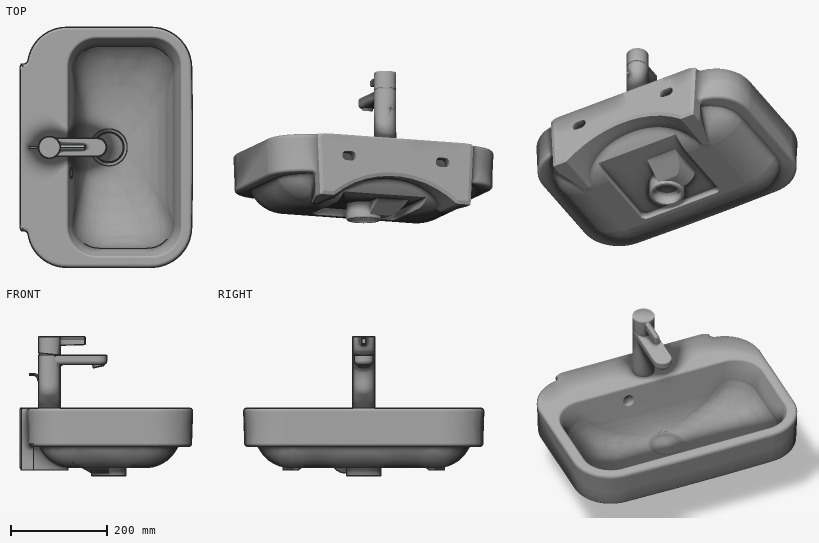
import cadquery as cq
import math

basin_depth = 359.87
basin_width = 500.04

rim_rear = 15.5
rim_height = 79.6
rim_draft = 2.0
rim_top_round = 7.0
rim_bottom_round = 6.0
rim_front_radius = 85.0
rim_rear_radius = 82.0
rim_front_curve = 6800.0

bracket_half_width_top = 174.0
bracket_half_width_foot = 168.0
bracket_thickness = 28.0
bracket_bottom = -129.0
bracket_chamfer_in = 3.0
bracket_chamfer_across = 7.0
bracket_top_chamfer = 1.5
bracket_corner_round = 9.0
foot_inner_half_width = 137.0
arch_top = -80.0
wing_end_x = 100.0
wing_end_half_width = 148.0
wing_top = -75.0

slot_offset = 104.4
slot_z = -44.3
slot_length = 31.0
slot_height = 19.7
slot_depth = 25.0

shell_rear = 38.0
shell_front = 329.0
shell_half_width = 220.0
shell_corner = 75.0
shell_bottom = -124.0
shell_edge_radius = 76.0
shell_steps = 5

recess_half_width = 93.0
recess_front = 250.0
recess_corner = 12.0
recess_top = -108.5

mouth_rear = 100.0
mouth_front = 336.5
mouth_half_width = 227.5
mouth_corner = 61.0
mouth_round = 5.0
crease_rear = 111.0
crease_front = 320.0
crease_half_width = 210.0
crease_corner = 55.0
crease_z = -45.0
floor_z = -103.0
floor_end_share = 0.97
floor_start_angle = 22.0
floor_steps = 6

drain_x = 185.0
drain_pipe_diameter = 72.0
drain_pipe_bottom = -141.57
drain_mouth_diameter = 77.0
drain_seat_diameter = 64.0
drain_seat_drop = 2.5
plug_diameter = 60.0
plug_edge_height = 6.0
plug_cone_height = 5.0
drain_pipe_chamfer = 1.5
pipe_overlap = 2.0

overflow_y = -53.0
overflow_z = -30.0
overflow_diameter = 22.0
overflow_end_x = 88.0
overflow_edge = 1.4
channel_half_width = 15.0
channel_rear = 78.0
channel_rear_bottom = -95.0
channel_pipe_x = 150.0
channel_bottom = -135.0
channel_corner = 30.0

tap_x = 61.5
tap_diameter = 46.0
tap_height = 110.5
neck_diameter = 42.0
handle_top = 149.0
handle_rear_gap = 4.6
handle_chamfer = 1.0
spout_tip = 181.0
spout_width = 39.0
spout_bottom = 90.4
spout_bottom_round = 8.3
spout_top_chamfer = 1.5
spout_root_fillet = 6.0

lever_tip = 136.8
lever_width = 10.4
lever_top = 148.6
lever_shoulder = 144.0
lever_bottom_root = 130.5
lever_bottom_tip = 132.0
lever_end_chamfer = 2.0

aerator_diameter = 23.15
aerator_mouth_diameter = 21.15
aerator_x = 163.0
aerator_tilt = 12.5
aerator_below = 4.6
aerator_inside = 5.0

rod_diameter = 4.0
rod_start = 20.3
rod_bend_start = 28.5
rod_z = 70.0
rod_bend_radius = 10.0
rod_bend_angle = 72.0
rod_tail = 20.0


def plan_wire(x_min, x_max, half_width, corner, z):
    """Rounded rectangle, symmetric about Y = 0, as a closed wire at height z."""
    diagonal = corner * math.sqrt(0.5)
    inner_x = (x_min + corner, x_max - corner)
    inner_y = half_width - corner
    return (
        cq.Workplane("XY", origin=(0, 0, z))
        .moveTo(inner_x[0], -half_width)
        .lineTo(inner_x[1], -half_width)
        .threePointArc((inner_x[1] + diagonal, -inner_y - diagonal), (x_max, -inner_y))
        .lineTo(x_max, inner_y)
        .threePointArc((inner_x[1] + diagonal, inner_y + diagonal), (inner_x[1], half_width))
        .lineTo(inner_x[0], half_width)
        .threePointArc((inner_x[0] - diagonal, inner_y + diagonal), (x_min, inner_y))
        .lineTo(x_min, -inner_y)
        .threePointArc((inner_x[0] - diagonal, -inner_y - diagonal), (inner_x[0], -half_width))
        .close()
        .val()
    )


def blend(start, end, share):
    """Value that lies the given share of the way from start to end."""
    return start + (end - start) * share


def rim_slab():
    """Drafted slab, widest where its top rounding ends."""
    spread = rim_top_round * math.tan(math.radians(rim_draft))
    half = basin_width / 2 + spread
    front = basin_depth + spread
    front_centre = front - rim_front_curve
    corner_y = half - rim_front_radius
    corner_reach = rim_front_curve - rim_front_radius
    corner_x = front_centre + math.sqrt(corner_reach**2 - corner_y**2)
    meet_angle = math.asin(corner_y / corner_reach)
    meet_x = front_centre + rim_front_curve * math.cos(meet_angle)
    meet_y = rim_front_curve * math.sin(meet_angle)
    mid_angle = (meet_angle + math.pi / 2) / 2
    mid_x = corner_x + rim_front_radius * math.cos(mid_angle)
    mid_y = corner_y + rim_front_radius * math.sin(mid_angle)
    rear_x = rim_rear + rim_rear_radius
    rear_y = half - rim_rear_radius
    rear_diagonal = rim_rear_radius * math.sqrt(0.5)
    return (
        cq.Workplane("XY")
        .moveTo(rear_x, -half)
        .lineTo(corner_x, -half)
        .threePointArc((mid_x, -mid_y), (meet_x, -meet_y))
        .threePointArc((front, 0), (meet_x, meet_y))
        .threePointArc((mid_x, mid_y), (corner_x, half))
        .lineTo(rear_x, half)
        .threePointArc((rear_x - rear_diagonal, rear_y + rear_diagonal), (rim_rear, rear_y))
        .lineTo(rim_rear, -rear_y)
        .threePointArc((rear_x - rear_diagonal, -rear_y - rear_diagonal), (rear_x, -half))
        .close()
        .extrude(-rim_height, taper=rim_draft)
        .faces("<Z")
        .edges()
        .fillet(rim_bottom_round)
    )


def bracket():
    """Wall plate with an arched underside and chamfered rear edges."""
    plate = (
        cq.Workplane("YZ")
        .moveTo(-bracket_half_width_top, 0)
        .lineTo(bracket_half_width_top, 0)
        .lineTo(bracket_half_width_foot, bracket_bottom)
        .lineTo(foot_inner_half_width, bracket_bottom)
        .threePointArc((0, arch_top), (-foot_inner_half_width, bracket_bottom))
        .lineTo(-bracket_half_width_foot, bracket_bottom)
        .close()
        .extrude(bracket_thickness)
    )
    rear_edges = plate.faces("<X").edges("not(>Z)")
    plate = rear_edges.chamfer(bracket_chamfer_in, bracket_chamfer_across)
    return plate.faces(">Z").edges("<X").chamfer(bracket_top_chamfer, bracket_chamfer_in)


def arch_opening():
    """Space under the arch, along the length of the wings."""
    return (
        cq.Workplane("YZ")
        .moveTo(-foot_inner_half_width, bracket_bottom)
        .threePointArc((0, arch_top), (foot_inner_half_width, bracket_bottom))
        .close()
        .extrude(wing_end_x)
    )


def wings():
    """Flanks that narrow from the bracket towards the bowl, open along the arch."""
    flank = (
        cq.Workplane("XY", origin=(0, 0, wing_top))
        .polyline(
            [
                (bracket_chamfer_in, -bracket_half_width_foot),
                (bracket_thickness, -bracket_half_width_foot),
                (wing_end_x, -wing_end_half_width),
                (wing_end_x, wing_end_half_width),
                (bracket_thickness, bracket_half_width_foot),
                (bracket_chamfer_in, bracket_half_width_foot),
            ]
        )
        .close()
        .extrude(bracket_bottom - wing_top)
    )
    return flank.cut(arch_opening())


def bowl_shell():
    """Outside of the bowl: a block whose lower edge is a large round."""
    sections = []
    arc_drop = shell_edge_radius + shell_bottom + rim_height
    reach = math.sqrt(shell_edge_radius**2 - arc_drop**2)
    for step in range(shell_steps + 1):
        across = reach * (1 - step / shell_steps)
        rise = shell_edge_radius - math.sqrt(shell_edge_radius**2 - across**2)
        inset = reach - across
        sections.append(
            plan_wire(
                shell_rear + inset,
                shell_front - inset,
                shell_half_width - inset,
                shell_corner - inset,
                shell_bottom + rise,
            )
        )
    return cq.Workplane(cq.Solid.makeLoft(sections))


def underside_recess():
    """Shallow recess under the bowl around the drain, open to the rear."""
    return (
        cq.Workplane("XY", origin=(0, 0, recess_top))
        .moveTo(shell_rear, -recess_half_width)
        .lineTo(recess_front, -recess_half_width)
        .lineTo(recess_front, recess_half_width)
        .lineTo(shell_rear, recess_half_width)
        .close()
        .extrude(shell_bottom - recess_top)
        .edges("|Z and >X")
        .fillet(recess_corner)
    )


def bowl_hollow():
    """Drafted upper wall down to the crease, then a dish that falls to the drain."""
    upper = cq.Solid.makeLoft(
        [
            plan_wire(mouth_rear, mouth_front, mouth_half_width, mouth_corner, 0),
            plan_wire(crease_rear, crease_front, crease_half_width, crease_corner, crease_z),
        ]
    )
    seat_radius = drain_seat_diameter / 2
    start_angle = math.radians(floor_start_angle)
    sections = []
    for step in range(floor_steps + 1):
        angle = blend(start_angle, math.pi / 2, step / floor_steps)
        share = floor_end_share * (1 - math.cos(angle) / math.cos(start_angle))
        drop = (math.sin(angle) - math.sin(start_angle)) / (1 - math.sin(start_angle))
        sections.append(
            plan_wire(
                blend(crease_rear, drain_x - seat_radius, share),
                blend(crease_front, drain_x + seat_radius, share),
                blend(crease_half_width, seat_radius, share),
                blend(crease_corner, seat_radius, share),
                blend(crease_z, floor_z, drop),
            )
        )
    return cq.Workplane(upper).union(cq.Workplane(cq.Solid.makeLoft(sections)))


def basin_outside():
    """Rim slab and bracket in one, with rounded inner corners and a rounded top edge."""
    body = rim_slab().union(bracket())
    inner_corners = cq.selectors.BoxSelector((16, -180, -50), (20, 180, -25))
    body = body.edges(inner_corners).fillet(bracket_corner_round)
    return body.faces(">Z").edges("not(<X)").fillet(rim_top_round)


def wall_slots():
    """Two horizontal fixing slots in the wall face."""
    return (
        cq.Workplane("YZ", origin=(0, 0, slot_z))
        .pushPoints([(-slot_offset, 0), (slot_offset, 0)])
        .slot2D(slot_length, slot_height)
        .extrude(slot_depth)
    )


def drain_pipe():
    """Outlet pipe below the bowl, bevelled at its lower end."""
    height = recess_top - drain_pipe_bottom + pipe_overlap
    return (
        cq.Workplane("XY", origin=(drain_x, 0, drain_pipe_bottom))
        .circle(drain_pipe_diameter / 2)
        .extrude(height)
        .faces("<Z")
        .chamfer(drain_pipe_chamfer)
    )


def drain_opening():
    """Funnel from the bowl floor to the plug bore, which runs out through the pipe."""
    mouth = drain_mouth_diameter / 2
    seat = drain_seat_diameter / 2
    bore = plug_diameter / 2
    seat_z = floor_z - drain_seat_drop
    return (
        cq.Workplane("XZ", origin=(drain_x, 0, 0))
        .moveTo(0, crease_z)
        .lineTo(mouth, crease_z)
        .lineTo(mouth, floor_z)
        .lineTo(seat, seat_z)
        .lineTo(bore, seat_z)
        .lineTo(bore, drain_pipe_bottom)
        .lineTo(0, drain_pipe_bottom)
        .close()
        .revolve(360, (0, 0, 0), (0, 1, 0))
    )


def overflow_opening():
    """Round overflow hole in the rear wall of the bowl."""
    return (
        cq.Workplane("YZ", origin=(overflow_end_x, overflow_y, overflow_z))
        .circle(overflow_diameter / 2)
        .extrude(crease_rear - overflow_end_x)
    )


def overflow_channel():
    """Covered duct under the bowl, from the rear down to the drain pipe."""
    side_y = overflow_y - channel_half_width
    return (
        cq.Workplane("YZ", origin=(channel_rear, 0, 0))
        .moveTo(0, wing_top)
        .lineTo(0, channel_bottom)
        .lineTo(side_y + channel_corner, channel_bottom)
        .radiusArc((side_y, channel_bottom + channel_corner), channel_corner)
        .lineTo(side_y, wing_top)
        .close()
        .extrude(drain_x - channel_rear)
        .intersect(channel_profile())
    )


def channel_profile():
    """Side outline of the channel: sloping floor, then level where it joins the pipe."""
    half = basin_width / 2
    return (
        cq.Workplane("XZ")
        .moveTo(channel_rear, wing_top)
        .lineTo(channel_rear, channel_rear_bottom)
        .lineTo(channel_pipe_x, channel_bottom)
        .lineTo(drain_x, channel_bottom)
        .lineTo(drain_x, wing_top)
        .close()
        .extrude(half, both=True)
    )


def make_basin():
    """Ceramic basin: rim, bracket, bowl, outlet and openings."""
    body = basin_outside().union(wings()).union(bowl_shell().cut(underside_recess()))
    body = body.union(drain_pipe()).union(overflow_channel())
    body = body.cut(bowl_hollow())
    mouth_edges = cq.selectors.BoxSelector(
        (mouth_rear - 1, -mouth_half_width - 1, -1), (mouth_front + 1, mouth_half_width + 1, 1)
    )
    body = body.faces(">Z").edges(mouth_edges).fillet(mouth_round)
    body = body.cut(wall_slots()).cut(drain_opening()).cut(overflow_opening())
    reach = overflow_diameter / 2 + overflow_edge
    overflow_rim = cq.selectors.BoxSelector(
        (mouth_rear, overflow_y - reach, overflow_z - reach),
        (crease_rear, overflow_y + reach, overflow_z + reach),
    )
    return body.edges(overflow_rim).chamfer(overflow_edge)


def make_plug():
    """Waste plug with a low conical top, closing the drain bore."""
    radius = plug_diameter / 2
    edge_z = floor_z - drain_seat_drop
    return (
        cq.Workplane("XZ", origin=(drain_x, 0, 0))
        .moveTo(0, edge_z - plug_edge_height)
        .lineTo(radius, edge_z - plug_edge_height)
        .lineTo(radius, edge_z)
        .lineTo(0, edge_z + plug_cone_height)
        .close()
        .revolve(360, (0, 0, 0), (0, 1, 0))
    )


def make_rod():
    """Round rod: level knob end, bend, then a steep tail that enters the tap column."""
    angle = math.radians(rod_bend_angle)
    half = angle / 2

    def on_bend(turn):
        return (
            rod_bend_start + rod_bend_radius * math.sin(turn),
            rod_z - rod_bend_radius * (1 - math.cos(turn)),
        )

    end_x, end_z = on_bend(angle)
    path = (
        cq.Workplane("XZ")
        .moveTo(rod_start, rod_z)
        .lineTo(rod_bend_start, rod_z)
        .threePointArc(on_bend(half), (end_x, end_z))
        .lineTo(end_x + rod_tail * math.cos(angle), end_z - rod_tail * math.sin(angle))
    )
    return (
        cq.Workplane("YZ", origin=(rod_start, 0, rod_z)).circle(rod_diameter / 2).sweep(path)
    )


def make_aerator():
    """Tilted nozzle insert that protrudes below the spout."""
    tilt = math.radians(aerator_tilt)
    axis = (math.sin(tilt), 0, -math.cos(tilt))
    plane = cq.Plane(origin=(aerator_x, 0, spout_bottom), xDir=(0, 1, 0), normal=axis)
    return (
        cq.Workplane(plane)
        .workplane(offset=-aerator_inside)
        .circle(aerator_diameter / 2)
        .extrude(aerator_inside + aerator_below)
        .faces(cq.selectors.DirectionMinMaxSelector(cq.Vector(*axis), True))
        .chamfer((aerator_diameter - aerator_mouth_diameter) / 2)
    )


def spout():
    """Flat spout with a round tip, a rounded underside and a bevelled top edge."""
    half = spout_width / 2
    tip_centre = spout_tip - half
    return (
        cq.Workplane("XY", origin=(0, 0, spout_bottom))
        .moveTo(tap_x, -half)
        .lineTo(tip_centre, -half)
        .threePointArc((spout_tip, 0), (tip_centre, half))
        .lineTo(tap_x, half)
        .close()
        .extrude(tap_height - spout_bottom)
        .faces("<Z")
        .edges("not(<X)")
        .fillet(spout_bottom_round)
        .faces(">Z")
        .edges("not(<X)")
        .chamfer(spout_top_chamfer)
    )


def make_tap():
    """Round column with the spout, blended where they meet."""
    column = (
        cq.Workplane("XY", origin=(tap_x, 0, 0)).circle(tap_diameter / 2).extrude(tap_height)
    )
    body = column.union(spout())
    root_edges = cq.selectors.BoxSelector(
        (tap_x, -spout_width / 2 - 1, spout_bottom - 1),
        (tap_x + tap_diameter / 2 + 1, spout_width / 2 + 1, tap_height - spout_top_chamfer - 1),
    )
    return body.edges(root_edges).fillet(spout_root_fillet)


def make_neck():
    """Narrower collar between the tap column and the handle, sliced by the handle's underside."""
    return (
        cq.Workplane("XY", origin=(tap_x, 0, tap_height))
        .circle(neck_diameter / 2)
        .extrude(handle_rear_gap)
        .cut(handle_zone())
    )


def handle_zone():
    """Everything above the sloping underside of the handle, which meets the column at the front."""
    radius = tap_diameter / 2
    return (
        cq.Workplane("XZ")
        .moveTo(tap_x - radius, tap_height + handle_rear_gap)
        .lineTo(tap_x + radius, tap_height)
        .lineTo(lever_tip, tap_height)
        .lineTo(lever_tip, handle_top)
        .lineTo(tap_x - radius, handle_top)
        .close()
        .extrude(radius, both=True)
    )


def lever():
    """Ridged bar with a tapered underside and a bevelled tip."""
    half = lever_width / 2
    section = (
        cq.Workplane("YZ", origin=(tap_x, 0, 0))
        .moveTo(-half, lever_bottom_root)
        .lineTo(half, lever_bottom_root)
        .lineTo(half, lever_shoulder)
        .lineTo(0, lever_top)
        .lineTo(-half, lever_shoulder)
        .close()
        .extrude(lever_tip - tap_x)
    )
    root_x = tap_x + tap_diameter / 2
    underside = (
        cq.Workplane("XZ")
        .moveTo(root_x, lever_bottom_root)
        .lineTo(lever_tip, lever_bottom_root)
        .lineTo(lever_tip, lever_bottom_tip)
        .close()
        .extrude(half, both=True)
    )
    return section.cut(underside).faces(">X").chamfer(lever_end_chamfer)


def make_handle():
    """Cap with a sloping underside and the lever on its front."""
    cap = (
        cq.Workplane("XY", origin=(tap_x, 0, tap_height))
        .circle(tap_diameter / 2)
        .extrude(handle_top - tap_height)
        .faces(">Z")
        .chamfer(handle_chamfer)
        .intersect(handle_zone())
    )
    return cap.union(lever())


basin = make_basin()
plug = make_plug()
rod = make_rod()
aerator = make_aerator()
tap = make_tap().cut(rod).cut(aerator)
neck = make_neck()
handle = make_handle()

result = cq.Compound.makeCompound(
    [
        basin.val(),
        plug.val(),
        tap.val(),
        rod.val(),
        aerator.val(),
        neck.val(),
        handle.val(),
    ]
)